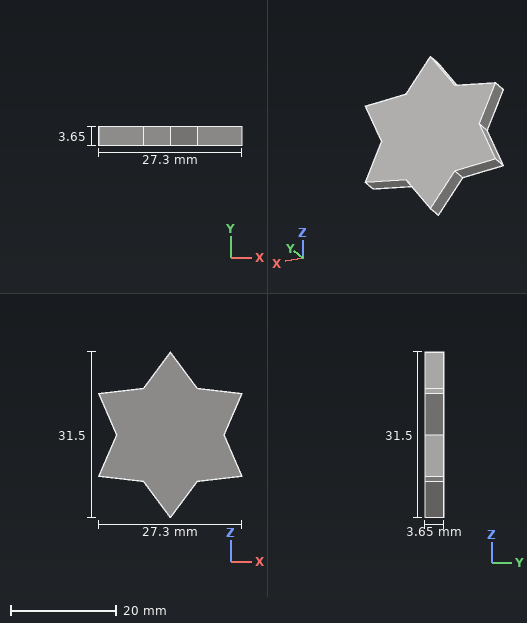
import cadquery as cq
import math

point_count = 6
tip_radius = 15.75
notch_radius = 10.23
thickness = 3.65


def polar_point(radius, angle):
    return (radius * math.cos(angle), radius * math.sin(angle))


half_pitch = math.pi / point_count
first_tip_angle = math.pi / 2
outline = []
for index in range(point_count):
    tip_angle = first_tip_angle + 2 * index * half_pitch
    outline.append(polar_point(tip_radius, tip_angle))
    outline.append(polar_point(notch_radius, tip_angle + half_pitch))

result = cq.Workplane("XZ").polyline(outline).close().extrude(thickness / 2, both=True)